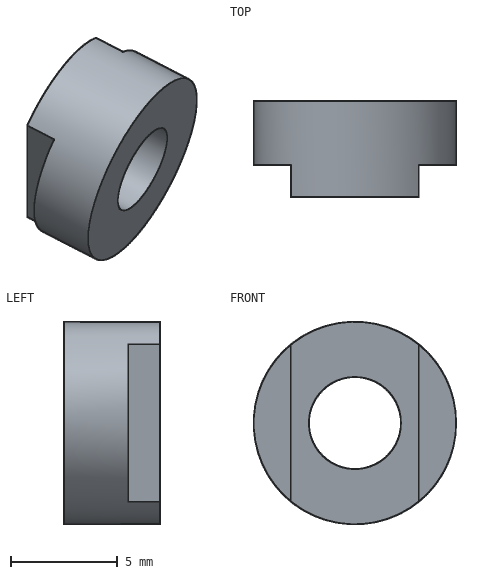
import cadquery as cq

outer_diameter = 9.5
hole_diameter = 4.3
total_length = 4.5
flat_depth = 1.5
flat_width = 6.0


def y_cylinder(diameter, length):
    """Cylinder on the Y axis, running from Y = 0 to +Y."""
    return cq.Workplane("XZ").circle(diameter / 2).extrude(-length)


def side_cutter(side):
    """Block outside one flat; side is -1 or +1 along X."""
    cutter_width = outer_diameter / 2
    center_x = side * (flat_width + cutter_width) / 2
    return (
        cq.Workplane("XZ")
        .center(center_x, 0)
        .rect(cutter_width, outer_diameter)
        .extrude(-flat_depth)
    )


body = y_cylinder(outer_diameter, total_length)
for side in (-1, 1):
    body = body.cut(side_cutter(side))

result = body.cut(y_cylinder(hole_diameter, total_length))